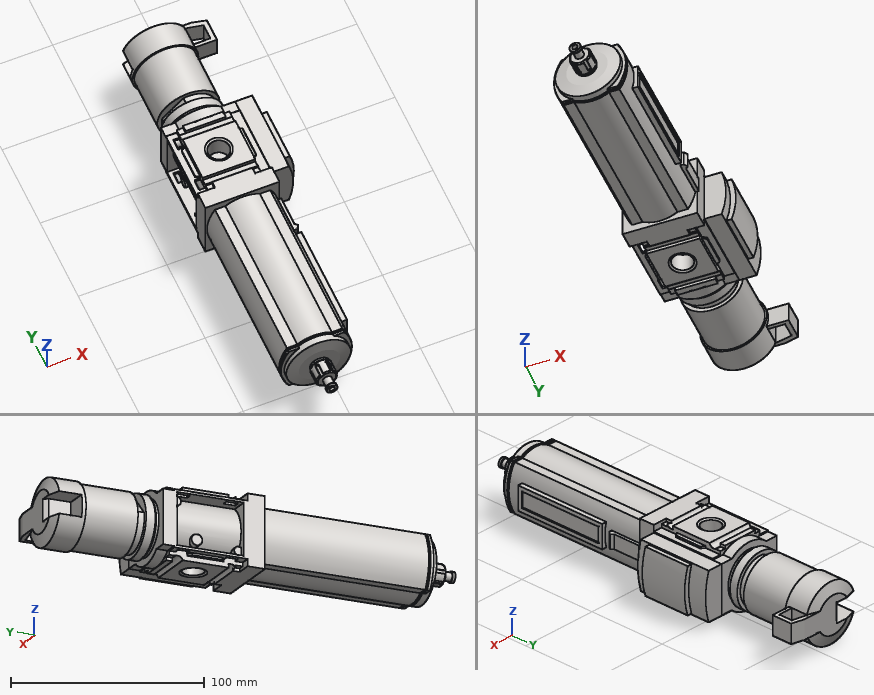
import cadquery as cq
import math


HOUSING_LEFT = -21.0
HOUSING_RIGHT = 20.8
HOUSING_HALF_HEIGHT = 20.0
HOUSING_TOP = 27.2
PORT_SECTION_TOP = 20.8
BASE_TOP = -21.2
BASE_BOTTOM = -31.2
SHOULDER_HALF_HEIGHT = 15.3
FRAME_HALF_HEIGHT = 16.0

POCKET_HALF_HEIGHT = 14.6
POCKET_HALF_LENGTH = 19.1
CORE_RADIUS = 35.0 / 2
BOSS_RADIUS = 6.1 / 2
BOSS_Y = 6.1
BOSS_Z = -8.5
BOSS_END = -17.5
LUG_RADIUS = 5.0 / 2
LUG_Y = 17.7
LUG_Z = 11.0
LUG_END = BOSS_END

PLATE_HALF_WIDTH = 14.9
GROOVE_WALLS = (17.2, -13.2)
GROOVE_WIDTH = 4.2
GROOVE_FLOOR_WIDTH = 1.5
GROOVE_DEPTH = 2.1
CORNER_START = 17.2
CORNER_CUT_WIDTH = 3.5
CORNER_CUT_DEPTH = 2.0
EAR_REACH = 2.4
EAR_ROOT_HALF_LENGTH = 10.5
EAR_TIP_HALF_LENGTH = 8.7
EAR_THICKNESS = 1.2
CLIP_OPENING_REACH = 3.3
CLIP_OPENING_LENGTH = 6.5
CLIP_OPENING_ENDS = (17.2, -10.5)
PORT_DIAMETER = 12.0
PORT_MOUTH_DIAMETER = 14.6
PORT_CHAMFER = 0.7
PORT_DEPTH = 11.8

COLLAR_FOOT_RADIUS = 31.6 / 2
COLLAR_RADIUS = 35.0 / 2
COLLAR_CHAMFER_START = 28.5
COLLAR_BOTTOM = 30.0
COLLAR_TOP = 35.2
NECK_RADIUS = 15.0
NECK_FLAT_DISTANCE = 12.5

KNOB_BOTTOM = 40.0
KNOB_RADIUS = 35.2 / 2
CAP_RADIUS = 37.3 / 2
CAP_BOTTOM = 70.1
CAP_EDGE = 85.0
CAP_CROWN_RADIUS = 11.8
KNOB_TOP = 87.4
LATCH_SLOT_HALF_WIDTH = 6.1
LATCH_SLOT_FLOOR = 72.2

LATCH_INNER_END = -4.7
LATCH_OUTER_END = 30.0
LATCH_SHOULDER = 22.0
LATCH_OUTER_TOP = 85.5
LATCH_WALL = 2.8
LATCH_BOTTOM_WALL = 2.1

BOWL_RADIUS = 36.4 / 2
BOWL_HALF_HEIGHT = 15.3
BOWL_FLAT_HALF_WIDTH = 15.5
BOWL_HALF_WIDTH = 20.0
BOWL_SECTION_END = -128.2
BOWL_ROUND_END = -130.8
BOWL_BOTTOM = -132.0
BOWL_CENTRE_RADIUS = 11.5
SEAM_TOP = -125.5
SEAM_WIDTH = 1.0
SEAM_DEPTH = 0.5

SLIDE_HALF_WIDTH = 4.5
SLIDE_FACE = 21.7
SLIDE_TIP = 23.1
SLIDE_TIP_Y = -50.0
SLIDE_RAMP_START = -48.6
SLIDE_END = -52.2
WINDOW_FACE = 22.2
WINDOW_HALF_WIDTH = 7.5
WINDOW_TOP = -56.7
WINDOW_BOTTOM = -116.6
WINDOW_RIM = 2.5
WINDOW_DEPTH = 1.0

DRAIN_RADIUS = 12.0 / 2
DRAIN_HUB_RADIUS = 5.5
DRAIN_TOP = -133.6
DRAIN_BOTTOM = -142.1
DRAIN_CHAMFER = 0.7
DRAIN_SLOT_COUNT = 6
DRAIN_SLOT_WIDTH = 2.0
DRAIN_SLOT_DEPTH = 1.0
DRAIN_SLOT_TOP = -135.0
STEM_RADIUS = 5.0 / 2
STEM_LIP_RADIUS = 6.1 / 2
STEM_LIP_TOP = -147.0
STEM_END = -148.7
STEM_BORE_RADIUS = 3.0 / 2
STEM_BORE_DEPTH = 6.0

GAUGE_HALF_HEIGHT = 15.3
GAUGE_EDGE = 30.5
GAUGE_CROWN = 32.8
LENS_HALF_HEIGHT = 14.6
LENS_HALF_LENGTH = 15.0
LENS_EDGE = 33.5
LENS_CROWN = 36.0


def block(x0, x1, y0, y1, z0, z1):
    return cq.Workplane("XY").box(x1 - x0, y1 - y0, z1 - z0, centered=False).translate((x0, y0, z0))


def revolve_about_y(outline):
    """Turn an outline Workplane, drawn as (radius, y), about the Y axis."""
    return outline.close().revolve(360, (0, 0, 0), (0, 1, 0))


def cylinder_y(radius, y0, y1):
    return cq.Workplane("XZ", origin=(0, y1, 0)).circle(radius).extrude(y1 - y0)


def prism_y(outline, y0, y1):
    """Extrude a function that draws an (x, z) outline from y1 down to y0."""
    return outline(cq.Workplane("XZ", origin=(0, y1, 0))).close().extrude(y1 - y0)


def both_faces(feature):
    """A feature on the +Z face together with its mirror image on the -Z face."""
    return feature.union(feature.mirror("XY"))



def housing_blank():
    shoulder = block(HOUSING_LEFT, HOUSING_RIGHT, PORT_SECTION_TOP, HOUSING_TOP,
                     -SHOULDER_HALF_HEIGHT, SHOULDER_HALF_HEIGHT)
    crown = cylinder_y(HOUSING_HALF_HEIGHT, PORT_SECTION_TOP, HOUSING_TOP)
    frame = block(HOUSING_LEFT, HOUSING_RIGHT, BASE_TOP, PORT_SECTION_TOP,
                  -FRAME_HALF_HEIGHT, FRAME_HALF_HEIGHT)
    base = block(HOUSING_LEFT, HOUSING_RIGHT, BASE_BOTTOM, BASE_TOP,
                 -HOUSING_HALF_HEIGHT, HOUSING_HALF_HEIGHT)
    return shoulder.union(crown).union(frame).union(base)


def side_pocket():
    pocket = block(HOUSING_LEFT, 0, -POCKET_HALF_LENGTH, POCKET_HALF_LENGTH,
                   -POCKET_HALF_HEIGHT, POCKET_HALF_HEIGHT)
    pocket = pocket.cut(cylinder_y(CORE_RADIUS, -POCKET_HALF_LENGTH, POCKET_HALF_LENGTH))
    boss = pocket_stud(BOSS_RADIUS, BOSS_Y, BOSS_Z, BOSS_END)
    lugs = [pocket_stud(LUG_RADIUS, side * LUG_Y, side * LUG_Z, LUG_END) for side in (-1, 1)]
    for stud in [boss, *lugs]:
        pocket = pocket.cut(stud)
    return pocket


def pocket_stud(radius, y, z, end):
    return cq.Workplane("YZ", origin=(end, y, z)).circle(radius).extrude(-end)


def port_plate():
    plate = block(-PLATE_HALF_WIDTH, PLATE_HALF_WIDTH, BASE_TOP, PORT_SECTION_TOP,
                  FRAME_HALF_HEIGHT, HOUSING_HALF_HEIGHT)
    for side in (-1, 1):
        plate = plate.union(plate_ear(side))
        plate = plate.cut(plate_corner(side, CORNER_START, PORT_SECTION_TOP))
        plate = plate.cut(plate_corner(side, BASE_TOP, -CORNER_START))
    for wall in GROOVE_WALLS:
        plate = plate.cut(plate_groove(wall))
    return plate


def plate_groove(wall):
    """Cross groove with an upright wall at +Y and a hollow-curved flank at -Y."""
    floor = HOUSING_HALF_HEIGHT - GROOVE_DEPTH
    floor_end = wall - GROOVE_FLOOR_WIDTH
    flank_end = wall - GROOVE_WIDTH
    flank_middle = ((floor_end + 2 * flank_end) / 3, floor + GROOVE_DEPTH / 3)
    return (
        cq.Workplane("YZ", origin=(-PLATE_HALF_WIDTH, 0, 0))
        .moveTo(wall, HOUSING_HALF_HEIGHT)
        .lineTo(wall, floor)
        .lineTo(floor_end, floor)
        .threePointArc(flank_middle, (flank_end, HOUSING_HALF_HEIGHT))
        .close()
        .extrude(2 * PLATE_HALF_WIDTH)
    )


def plate_corner(side, y0, y1):
    edge = side * PLATE_HALF_WIDTH
    inner = side * (PLATE_HALF_WIDTH - CORNER_CUT_WIDTH)
    return block(min(edge, inner), max(edge, inner), y0, y1,
                 HOUSING_HALF_HEIGHT - CORNER_CUT_DEPTH, HOUSING_HALF_HEIGHT)


def plate_ear(side):
    root = side * PLATE_HALF_WIDTH
    tip = side * (PLATE_HALF_WIDTH + EAR_REACH)
    outline = [(root, EAR_ROOT_HALF_LENGTH), (tip, EAR_TIP_HALF_LENGTH),
               (tip, -EAR_TIP_HALF_LENGTH), (root, -EAR_ROOT_HALF_LENGTH)]
    plane = cq.Workplane("XY", origin=(0, 0, FRAME_HALF_HEIGHT))
    return plane.polyline(outline).close().extrude(EAR_THICKNESS)


def clip_opening(end):
    """Opening through the frame into the side pocket, beside the -X edge of the plate."""
    outer_edge = -PLATE_HALF_WIDTH - CLIP_OPENING_REACH
    return block(outer_edge, -PLATE_HALF_WIDTH, end - CLIP_OPENING_LENGTH, end,
                 POCKET_HALF_HEIGHT, FRAME_HALF_HEIGHT)


def port():
    bore_radius = PORT_DIAMETER / 2
    mouth_radius = PORT_MOUTH_DIAMETER / 2
    return (
        cq.Workplane("XZ")
        .moveTo(0, HOUSING_HALF_HEIGHT)
        .lineTo(mouth_radius, HOUSING_HALF_HEIGHT)
        .lineTo(bore_radius, HOUSING_HALF_HEIGHT - PORT_CHAMFER)
        .lineTo(bore_radius, HOUSING_HALF_HEIGHT - PORT_DEPTH)
        .lineTo(0, HOUSING_HALF_HEIGHT - PORT_DEPTH)
        .close()
        .revolve(360, (0, 0, 0), (0, 1, 0))
    )


def neck():
    collar = revolve_about_y(
        cq.Workplane("XY")
        .moveTo(0, HOUSING_TOP)
        .lineTo(COLLAR_FOOT_RADIUS, HOUSING_TOP)
        .lineTo(COLLAR_FOOT_RADIUS, COLLAR_CHAMFER_START)
        .lineTo(COLLAR_RADIUS, COLLAR_BOTTOM)
        .lineTo(COLLAR_RADIUS, COLLAR_TOP)
        .lineTo(0, COLLAR_TOP)
    )
    stub = cylinder_y(NECK_RADIUS, COLLAR_TOP, KNOB_BOTTOM)
    flat_side = block(-2 * NECK_RADIUS, -NECK_FLAT_DISTANCE, COLLAR_TOP, KNOB_BOTTOM,
                      -NECK_RADIUS, NECK_RADIUS)
    stub = stub.cut(flat_side.rotate((0, 0, 0), (0, 1, 0), 45))
    return collar.union(stub)


def bowl_section(plane, inset=0):
    half_flat = BOWL_FLAT_HALF_WIDTH - inset
    half_height = BOWL_HALF_HEIGHT - inset
    half_width = BOWL_HALF_WIDTH - inset
    return (
        plane.moveTo(-half_flat, half_height)
        .lineTo(half_flat, half_height)
        .threePointArc((half_width, 0), (half_flat, -half_height))
        .lineTo(-half_flat, -half_height)
        .threePointArc((-half_width, 0), (-half_flat, half_height))
    )


def bowl_tube(y0, y1, inset=0):
    flats = prism_y(lambda plane: bowl_section(plane, inset), y0, y1)
    return flats.union(cylinder_y(BOWL_RADIUS - inset, y0, y1))


def bowl():
    seam_bottom = SEAM_TOP - SEAM_WIDTH
    body = bowl_tube(SEAM_TOP, BASE_BOTTOM)
    body = body.union(bowl_tube(seam_bottom, SEAM_TOP, SEAM_DEPTH))
    body = body.union(bowl_tube(BOWL_SECTION_END, seam_bottom))
    bottom = revolve_about_y(
        cq.Workplane("XY")
        .moveTo(0, BOWL_SECTION_END)
        .lineTo(BOWL_RADIUS, BOWL_SECTION_END)
        .lineTo(BOWL_RADIUS, BOWL_ROUND_END)
        .lineTo(BOWL_CENTRE_RADIUS, BOWL_BOTTOM)
        .lineTo(0, BOWL_BOTTOM)
    )
    return body.union(bottom)


def release_slide():
    inside = BOWL_FLAT_HALF_WIDTH
    return (
        cq.Workplane("XY", origin=(0, 0, -SLIDE_HALF_WIDTH))
        .moveTo(inside, BASE_BOTTOM)
        .lineTo(SLIDE_FACE, BASE_BOTTOM)
        .lineTo(SLIDE_FACE, SLIDE_RAMP_START)
        .lineTo(SLIDE_TIP, SLIDE_TIP_Y)
        .lineTo(SLIDE_FACE, SLIDE_END)
        .lineTo(inside, SLIDE_END)
        .close()
        .extrude(2 * SLIDE_HALF_WIDTH)
    )


def sight_window():
    rim = block(BOWL_FLAT_HALF_WIDTH, WINDOW_FACE, WINDOW_BOTTOM, WINDOW_TOP,
                -WINDOW_HALF_WIDTH, WINDOW_HALF_WIDTH)
    pane_half_width = WINDOW_HALF_WIDTH - WINDOW_RIM
    pane = block(WINDOW_FACE - WINDOW_DEPTH, WINDOW_FACE, WINDOW_BOTTOM + WINDOW_RIM,
                 WINDOW_TOP - WINDOW_RIM, -pane_half_width, pane_half_width)
    return rim.cut(pane)


def drain():
    turned = revolve_about_y(
        cq.Workplane("XY")
        .moveTo(0, BOWL_BOTTOM)
        .lineTo(DRAIN_HUB_RADIUS, BOWL_BOTTOM)
        .lineTo(DRAIN_HUB_RADIUS, DRAIN_TOP)
        .lineTo(DRAIN_RADIUS, DRAIN_TOP)
        .lineTo(DRAIN_RADIUS, DRAIN_BOTTOM + DRAIN_CHAMFER)
        .lineTo(DRAIN_RADIUS - DRAIN_CHAMFER, DRAIN_BOTTOM)
        .lineTo(STEM_RADIUS, DRAIN_BOTTOM)
        .lineTo(STEM_RADIUS, STEM_LIP_TOP)
        .lineTo(STEM_LIP_RADIUS, STEM_LIP_TOP)
        .lineTo(STEM_LIP_RADIUS, STEM_END)
        .lineTo(0, STEM_END)
    )
    slot = block(DRAIN_RADIUS - DRAIN_SLOT_DEPTH, DRAIN_RADIUS, DRAIN_BOTTOM, DRAIN_SLOT_TOP,
                 -DRAIN_SLOT_WIDTH / 2, DRAIN_SLOT_WIDTH / 2)
    for index in range(DRAIN_SLOT_COUNT):
        turned = turned.cut(slot.rotate((0, 0, 0), (0, 1, 0), index * 360 / DRAIN_SLOT_COUNT))
    return turned.cut(cylinder_y(STEM_BORE_RADIUS, STEM_END, STEM_END + STEM_BORE_DEPTH))


def make_main_body():
    body = housing_blank().cut(side_pocket())
    body = body.union(both_faces(port_plate())).cut(both_faces(port()))
    for end in CLIP_OPENING_ENDS:
        body = body.cut(both_faces(clip_opening(end)))
    body = body.union(neck()).union(bowl())
    body = body.union(release_slide()).union(sight_window())
    return body.union(drain())



def knob_blank():
    return revolve_about_y(
        cq.Workplane("XY")
        .moveTo(0, KNOB_BOTTOM)
        .lineTo(KNOB_RADIUS, KNOB_BOTTOM)
        .lineTo(KNOB_RADIUS, CAP_BOTTOM)
        .lineTo(CAP_RADIUS, CAP_BOTTOM)
        .lineTo(CAP_RADIUS, CAP_EDGE)
        .lineTo(CAP_CROWN_RADIUS, KNOB_TOP)
        .lineTo(0, KNOB_TOP)
    )


def latch_arm():
    half_width = LATCH_SLOT_HALF_WIDTH
    arm = (
        cq.Workplane("XY", origin=(0, 0, -half_width))
        .moveTo(LATCH_INNER_END, LATCH_SLOT_FLOOR)
        .lineTo(LATCH_OUTER_END, LATCH_SLOT_FLOOR)
        .lineTo(LATCH_OUTER_END, LATCH_OUTER_TOP)
        .lineTo(LATCH_SHOULDER, KNOB_TOP)
        .lineTo(LATCH_INNER_END + KNOB_TOP - CAP_EDGE, KNOB_TOP)
        .lineTo(LATCH_INNER_END, CAP_EDGE)
        .close()
        .extrude(2 * half_width)
    )
    eye_inner = math.sqrt(CAP_RADIUS ** 2 - half_width ** 2)
    eye_outer = LATCH_OUTER_END - LATCH_WALL
    eye = (
        cq.Workplane("XY", origin=(0, 0, -half_width))
        .moveTo(eye_inner, LATCH_SLOT_FLOOR + LATCH_BOTTOM_WALL)
        .lineTo(eye_outer, LATCH_SLOT_FLOOR + LATCH_BOTTOM_WALL)
        .lineTo(eye_outer, LATCH_OUTER_TOP - LATCH_BOTTOM_WALL)
        .lineTo(eye_inner, KNOB_TOP - LATCH_BOTTOM_WALL)
        .close()
        .extrude(2 * half_width)
    )
    return arm.cut(eye)


def make_knob():
    slot = block(-CAP_RADIUS, CAP_RADIUS, LATCH_SLOT_FLOOR, KNOB_TOP,
                 -LATCH_SLOT_HALF_WIDTH, LATCH_SLOT_HALF_WIDTH)
    return knob_blank().cut(slot).union(latch_arm())



def gauge_profile(plane, half_height, edge, crown):
    return (
        plane.moveTo(HOUSING_RIGHT, half_height)
        .lineTo(edge, half_height)
        .threePointArc((crown, 0), (edge, -half_height))
        .lineTo(HOUSING_RIGHT, -half_height)
    )


def make_gauge():
    case = prism_y(lambda plane: gauge_profile(plane, GAUGE_HALF_HEIGHT, GAUGE_EDGE, GAUGE_CROWN),
                   BASE_TOP, HOUSING_TOP)
    lens = prism_y(lambda plane: gauge_profile(plane, LENS_HALF_HEIGHT, LENS_EDGE, LENS_CROWN),
                   -LENS_HALF_LENGTH, LENS_HALF_LENGTH)
    return case.union(lens)


main_body = make_main_body()
knob = make_knob()
gauge = make_gauge()

result = cq.Compound.makeCompound([main_body.val(), knob.val(), gauge.val()])